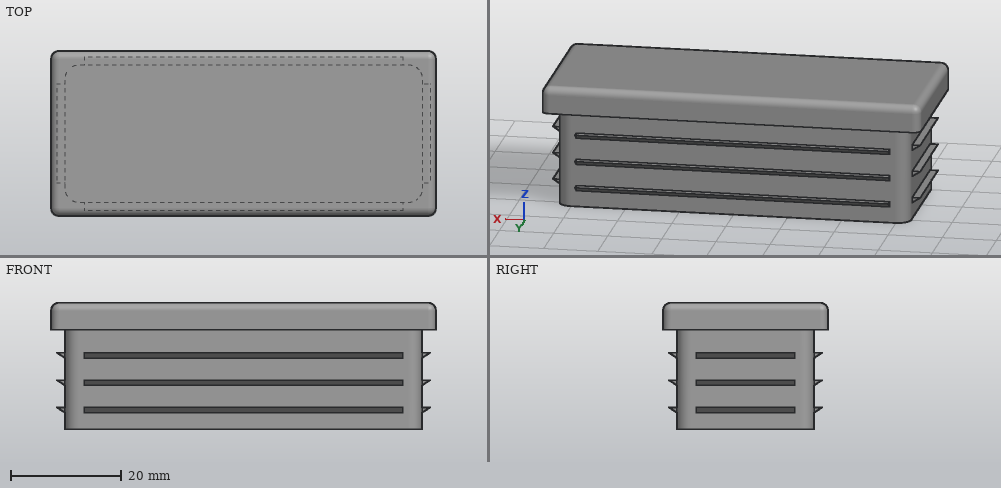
import cadquery as cq

cap_length = 70.0
cap_width = 30.0
cap_height = 5.0
cap_radius = 1.5

total_height = 23.0
cap_overhang = 2.5
body_length = cap_length - 2 * cap_overhang
body_width = cap_width - 2 * cap_overhang
body_height = total_height - cap_height
body_corner_radius = 2.5

rib_depth = 1.5
rib_height = 1.0
rib_count = 3
lowest_rib_top = 4.0
rib_pitch = 5.0
rib_end_gap = 1.0
rib_overlap = 0.35
rib_inset = 2 * (body_corner_radius + rib_end_gap)


def make_body():
    return (
        cq.Workplane("XY")
        .rect(body_length, body_width)
        .extrude(body_height)
        .edges("|Z")
        .fillet(body_corner_radius)
    )


def make_cap():
    return (
        cq.Workplane("XY")
        .workplane(offset=body_height)
        .rect(cap_length, cap_width)
        .extrude(cap_height)
        .edges("|Z or >Z")
        .fillet(cap_radius)
    )


def make_rib(face_distance, length, top):
    """Triangular rib on the +X side, centred on Y and rooted at face_distance."""
    root = face_distance - rib_overlap
    outline = [
        (root, top),
        (face_distance + rib_depth, top),
        (face_distance, top - rib_height),
        (root, top - rib_height),
    ]
    return cq.Workplane("XZ").polyline(outline).close().extrude(length / 2, both=True)


result = make_body().union(make_cap())
sides = [
    (0, body_length / 2, body_width - rib_inset),
    (90, body_width / 2, body_length - rib_inset),
]
for angle, face_distance, rib_length in sides:
    for level in range(rib_count):
        rib = make_rib(face_distance, rib_length, lowest_rib_top + level * rib_pitch)
        for turn in (angle, angle + 180):
            result = result.union(rib.rotate((0, 0, 0), (0, 0, 1), turn))